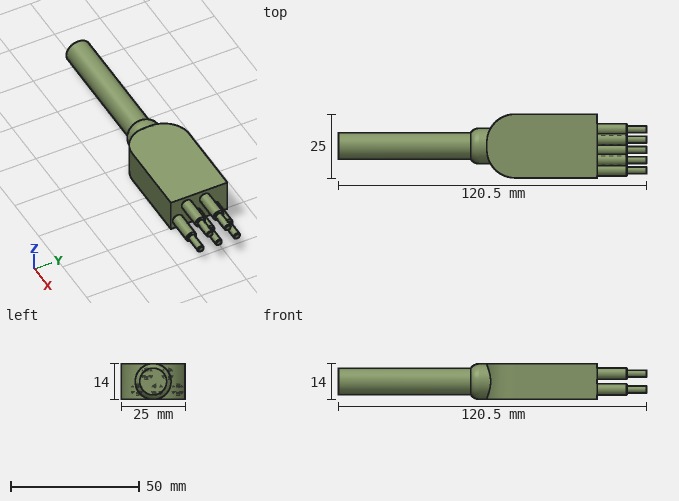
import cadquery as cq
import math


body_length = 43.0
body_width = 25.0
body_height = 14.0
body_corner_radius = 11.0

cable_diameter = 10.5
cable_end_x = -101.0
collar_diameter = body_height
collar_straight_end_x = -46.0
collar_shoulder_radius = 4.0

sleeve_diameter = 4.5
sleeve_length = 11.9
sleeve_chamfer = 0.5
contact_diameter = 2.8
contact_end_x = 19.5
contact_chamfer = 0.3
pin_pitch = 4.0
pin_count = 5
first_pin_y = -9.5
row_spacing = 6.2

collar_overlap_end_x = -body_length / 2


def rod_along_x(start_x, end_x, diameter):
    return cq.Workplane("YZ", origin=(start_x, 0, 0)).circle(diameter / 2).extrude(end_x - start_x)


def make_body():
    block = cq.Workplane("XY").box(body_length, body_width, body_height)
    block = block.translate((-body_length / 2, 0, 0))
    return block.edges("|Z and <X").fillet(body_corner_radius)


def make_collar():
    """Revolved collar whose rounded shoulder runs down to the cable surface."""
    cable_radius = cable_diameter / 2
    collar_radius = collar_diameter / 2
    arc_center_radius = collar_radius - collar_shoulder_radius

    cable_angle = math.asin((cable_radius - arc_center_radius) / collar_shoulder_radius)
    middle_angle = (cable_angle + math.pi / 2) / 2

    def shoulder_point(angle):
        return (
            collar_straight_end_x - collar_shoulder_radius * math.cos(angle),
            arc_center_radius + collar_shoulder_radius * math.sin(angle),
        )

    shoulder_start = shoulder_point(cable_angle)
    profile = (
        cq.Workplane("XY")
        .moveTo(shoulder_start[0], 0)
        .lineTo(*shoulder_start)
        .threePointArc(shoulder_point(middle_angle), (collar_straight_end_x, collar_radius))
        .lineTo(collar_overlap_end_x, collar_radius)
        .lineTo(collar_overlap_end_x, 0)
        .close()
    )
    return profile.revolve(360, (0, 0, 0), (1, 0, 0))


def make_pin():
    sleeve = rod_along_x(0, sleeve_length, sleeve_diameter).faces(">X").chamfer(sleeve_chamfer)
    contact = rod_along_x(0, contact_end_x, contact_diameter).faces(">X").chamfer(contact_chamfer)
    return sleeve.union(contact)


cable = rod_along_x(cable_end_x, collar_overlap_end_x, cable_diameter)
result = make_body().union(make_collar()).union(cable)

for index in range(pin_count):
    row_side = -1 if index % 2 == 0 else 1
    pin_y = first_pin_y + index * pin_pitch
    pin_z = row_side * row_spacing / 2
    result = result.union(make_pin().translate((0, pin_y, pin_z)))